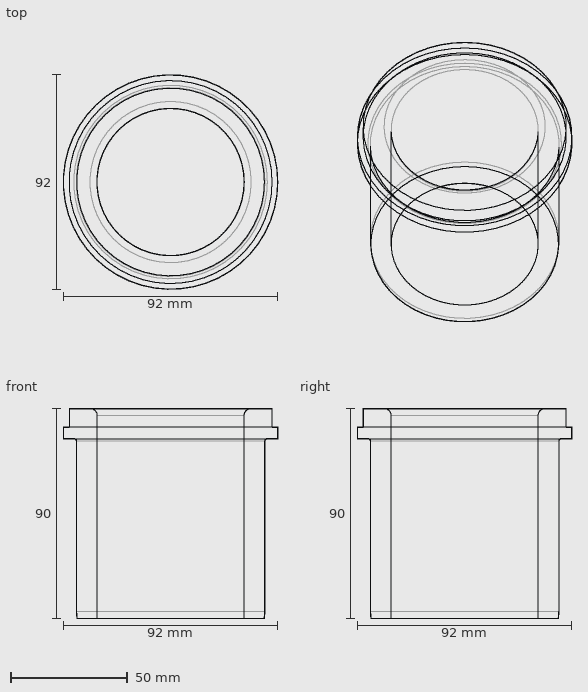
import cadquery as cq
import math

total_height = 90.0
flange_diameter = 92.0
flange_thickness = 5.0
head_diameter = 87.0
head_height = 8.0
body_diameter = 80.9
bore_diameter = 63.0
mouth_radius = 3.0
neck_fillet_radius = 1.0
lead_in_height = 3.0
lead_in_angle = 5.0

flange_top = total_height - head_height
flange_bottom = flange_top - flange_thickness
lead_in_depth = lead_in_height * math.tan(math.radians(lead_in_angle))


def cylinder(diameter, bottom, top):
    """Solid cylinder on the Z axis between two levels."""
    return cq.Workplane("XY").workplane(offset=bottom).circle(diameter / 2).extrude(top - bottom)


def sleeve_body():
    """Cylindrical body with a slightly tapered lead-in at its lower end."""
    body_radius = body_diameter / 2
    return (
        cq.Workplane("XZ")
        .moveTo(0, 0)
        .lineTo(body_radius - lead_in_depth, 0)
        .lineTo(body_radius, lead_in_height)
        .lineTo(body_radius, flange_bottom)
        .lineTo(0, flange_bottom)
        .close()
        .revolve(360, (0, 0, 0), (0, 1, 0))
    )


def neck_fillet():
    """Concave ring blending the body into the underside of the flange."""
    body_radius = body_diameter / 2
    center_r = body_radius + neck_fillet_radius
    center_z = flange_bottom - neck_fillet_radius
    arc_offset = neck_fillet_radius * math.sqrt(0.5)
    return (
        cq.Workplane("XZ")
        .moveTo(bore_diameter / 2, center_z)
        .lineTo(body_radius, center_z)
        .threePointArc((center_r - arc_offset, center_z + arc_offset), (center_r, flange_bottom))
        .lineTo(bore_diameter / 2, flange_bottom)
        .close()
        .revolve(360, (0, 0, 0), (0, 1, 0))
    )


flange = cylinder(flange_diameter, flange_bottom, flange_top)
head = cylinder(head_diameter, flange_top, total_height)
bushing = sleeve_body().union(neck_fillet()).union(flange).union(head)

bushing = bushing.cut(cylinder(bore_diameter, 0, total_height))
mouth_edge = cq.selectors.RadiusNthSelector(0)
result = bushing.faces(">Z").edges(mouth_edge).fillet(mouth_radius)